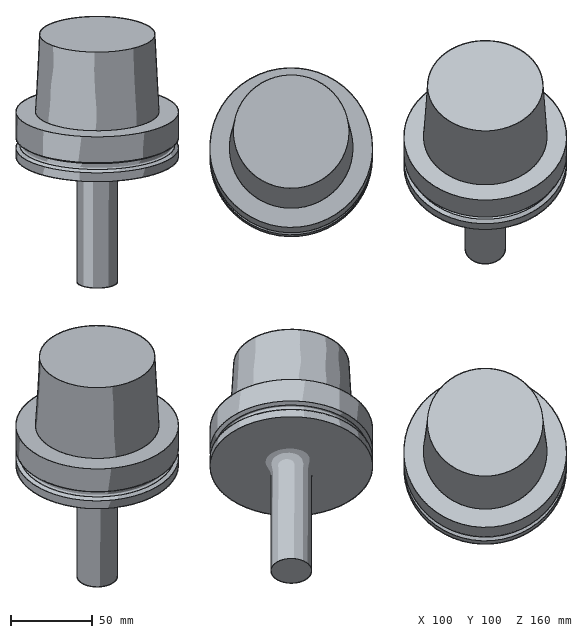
import cadquery as cq
import math

total_length = 160.0

plug_length = 50.0
plug_base_diameter = 76.0
taper_ratio = 1 / 10
plug_top_diameter = plug_base_diameter - taper_ratio * plug_length

flange_diameter = 100.0
flange_thickness = 29.0
groove_floor_diameter = 92.0
groove_center_depth = 20.0
groove_mouth_width = 6.5
groove_floor_width = 3.75
groove_wall_slope = 30.0
groove_corner_radius = 0.5

shank_diameter = 25.0
shank_fillet_radius = 8.0

flange_top_z = total_length - plug_length
flange_bottom_z = flange_top_z - flange_thickness
groove_center_z = flange_top_z - groove_center_depth
fillet_bottom_z = flange_bottom_z - shank_fillet_radius

plug_top_radius = plug_top_diameter / 2
plug_base_radius = plug_base_diameter / 2
flange_radius = flange_diameter / 2
groove_floor_radius = groove_floor_diameter / 2
shank_radius = shank_diameter / 2
fillet_outer_radius = shank_radius + shank_fillet_radius


def turned_body():
    """Shank, filleted root, plain flange and tapered plug as one revolved profile."""
    arc_inset = shank_fillet_radius * (1 - math.sqrt(0.5))
    fillet_middle = (shank_radius + arc_inset, flange_bottom_z - arc_inset)
    profile = (
        cq.Workplane("XZ")
        .moveTo(0, 0)
        .lineTo(shank_radius, 0)
        .lineTo(shank_radius, fillet_bottom_z)
        .threePointArc(fillet_middle, (fillet_outer_radius, flange_bottom_z))
        .lineTo(flange_radius, flange_bottom_z)
        .lineTo(flange_radius, flange_top_z)
        .lineTo(plug_base_radius, flange_top_z)
        .lineTo(plug_top_radius, total_length)
        .lineTo(0, total_length)
        .close()
    )
    return profile.revolve(360, (0, 0), (0, 1))


def gripper_groove():
    """Ring cut into the flange rim: a straight, round-cornered floor below flared walls."""
    half_mouth = groove_mouth_width / 2
    half_floor = groove_floor_width / 2
    flare_depth = (half_mouth - half_floor) / math.tan(math.radians(groove_wall_slope))
    flare_radius = flange_radius - flare_depth
    section = (
        cq.Workplane("XZ")
        .moveTo(flange_radius, groove_center_z - half_mouth)
        .lineTo(flare_radius, groove_center_z - half_floor)
        .lineTo(groove_floor_radius, groove_center_z - half_floor)
        .lineTo(groove_floor_radius, groove_center_z + half_floor)
        .lineTo(flare_radius, groove_center_z + half_floor)
        .lineTo(flange_radius, groove_center_z + half_mouth)
        .close()
    )
    ring = section.revolve(360, (0, 0), (0, 1))
    floor_corners = cq.selectors.RadiusNthSelector(0)
    return ring.edges("%CIRCLE").edges(floor_corners).fillet(groove_corner_radius)


result = turned_body().cut(gripper_groove())